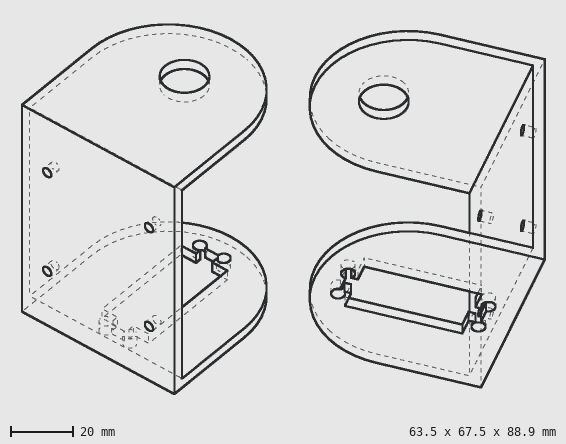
import cadquery as cq

width = 63.5
depth = 67.5
height = 88.9
thickness = 4.0
corner_radius = width / 2
straight_depth = depth - corner_radius

mount_diameter = 3.5
mount_spacing = 42.4

pivot_diameter = 16.0
pivot_y = 44.0

servo_width = 19.4
servo_length = 40.0
servo_center_y = 34.0
notch_width = 6.8
screw_diameter = 4.5
screw_spacing_x = 10.0
screw_spacing_y = 47.8


def flange(bottom_z):
    """Plate with a full semicircular free end."""
    return (
        cq.Workplane("XY", origin=(0, 0, bottom_z))
        .moveTo(-width / 2, 0)
        .lineTo(width / 2, 0)
        .lineTo(width / 2, straight_depth)
        .threePointArc((0, depth), (-width / 2, straight_depth))
        .close()
        .extrude(thickness)
    )


def mount_holes():
    """Square pattern of holes centred on the web."""
    return (
        cq.Workplane("XZ", origin=(0, 0, height / 2))
        .rect(mount_spacing, mount_spacing, forConstruction=True)
        .vertices()
        .circle(mount_diameter / 2)
        .extrude(-thickness)
    )


def pivot_hole():
    """Round hole through the upper flange."""
    return (
        cq.Workplane("XY", origin=(0, pivot_y, height - thickness))
        .circle(pivot_diameter / 2)
        .extrude(thickness)
    )


def servo_opening():
    """Rectangular opening with end notches that run into pairs of screw holes."""
    plane = cq.Workplane("XY", origin=(0, servo_center_y, 0))
    body = plane.rect(servo_width, servo_length).extrude(thickness)
    notches = plane.rect(notch_width, screw_spacing_y).extrude(thickness)
    screws = (
        plane.rect(screw_spacing_x, screw_spacing_y, forConstruction=True)
        .vertices()
        .circle(screw_diameter / 2)
        .extrude(thickness)
    )
    return body.union(notches).union(screws)


web = cq.Workplane("XY").box(width, thickness, height, centered=(True, False, False))
bracket = web.union(flange(0)).union(flange(height - thickness))
result = bracket.cut(mount_holes()).cut(pivot_hole()).cut(servo_opening())